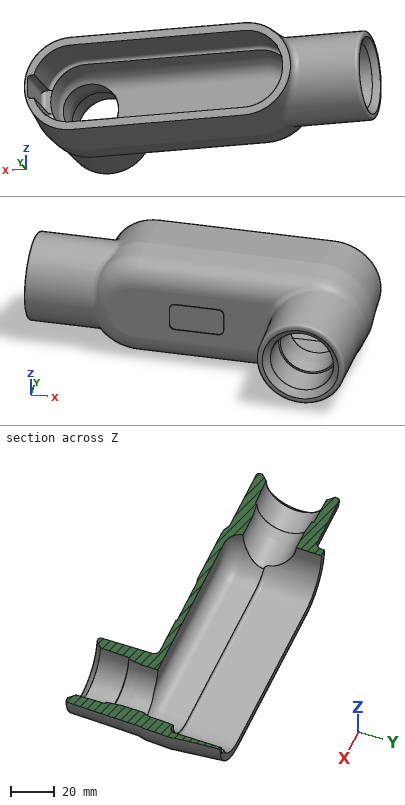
import cadquery as cq
import math


length = 160.08
depth = 76.63
body_width = 48.89

back_y = 25.3
front_y = -22.4
back_draft = 5.0
front_draft = 2.0
front_round = 11.2
body_radius = body_width / 2
left_center_x = 53.0
right_center_x = length - body_radius
center_spacing = right_center_x - left_center_x
body_middle_x = (left_center_x + right_center_x) / 2

hub_radius = 41.27 / 2
hub_edge_round = 1.41
hub_blend = 3.0
elbow_x = 138.0
elbow_tip_y = back_y - depth
elbow_draft = 1.0
elbow_base_radius = hub_radius - elbow_tip_y * math.tan(math.radians(elbow_draft))

mouth_radius = 18.0
mouth_depth = 3.0
thread_radius = 14.9
thread_depth = 17.5
thread_taper = 1 / 32
thread_end_radius = thread_radius - (thread_depth - mouth_depth) * thread_taper
throat_start_radius = 13.6
throat_end_radius = 12.7
throat_depth = 7.0

floor_wall = 3.5
floor_y = front_y + floor_wall
chamber_radius = 33.55 / 2
chamber_round = front_round - floor_wall
ledge_y = -0.2
ledge_round = 1.6
ledge_width = 1.7
opening_radius = chamber_radius + ledge_width

notch_width = 11.3
notch_round = 2.1
notch_depth = 2.3
notch_end_x = right_center_x + opening_radius + notch_depth

label_x = 82.0
label_length = 25.6
label_height = 13.2
label_corner = 2.6
label_depth = 0.5


def stadium(radius, start_y, end_y, draft=0.0):
    """Round-ended slab between two Y levels, shrinking by the draft towards end_y."""
    plane = cq.Workplane("XZ", origin=(body_middle_x, start_y, 0))
    outline = plane.slot2D(center_spacing + 2 * radius, 2 * radius)
    return outline.extrude(start_y - end_y, taper=draft)


def make_body():
    front = stadium(body_radius, 0, front_y, front_draft)
    front = front.faces("<Y").edges().fillet(front_round)
    back = stadium(body_radius, 0, back_y, back_draft)
    return front.union(back)


def make_straight_hub():
    hub = cq.Workplane("YZ").circle(hub_radius).extrude(left_center_x)
    return hub.faces("<X").edges().fillet(hub_edge_round)


def make_elbow_hub():
    profile = (
        cq.Workplane("XY")
        .polyline([(0, 0), (elbow_base_radius, 0), (hub_radius, elbow_tip_y), (0, elbow_tip_y)])
        .close()
    )
    hub = profile.revolve(360, (0, 0, 0), (0, 1, 0))
    return hub.faces("<Y").edges().fillet(hub_edge_round).translate((elbow_x, 0, 0))


def make_bore(reach):
    """Cutter for a hub bore along +X from the hub end: flared mouth, tapered thread, tapered throat."""
    profile = (
        cq.Workplane("XY")
        .moveTo(0, 0)
        .lineTo(0, mouth_radius)
        .lineTo(mouth_depth, thread_radius)
        .lineTo(thread_depth, thread_end_radius)
        .lineTo(thread_depth, throat_start_radius)
        .lineTo(thread_depth + throat_depth, throat_end_radius)
        .lineTo(reach, throat_end_radius)
        .lineTo(reach, 0)
        .close()
    )
    return profile.revolve(360, (0, 0, 0), (1, 0, 0))


def make_cavity():
    chamber = stadium(chamber_radius, ledge_y, floor_y, front_draft)
    chamber = chamber.faces("<Y").edges().fillet(chamber_round)
    opening = stadium(opening_radius, back_y, ledge_y)
    opening = opening.faces("<Y").edges().fillet(ledge_round)
    return chamber.union(opening).union(make_notch())


def make_notch():
    notch_length = notch_end_x - right_center_x
    notch_height = back_y - ledge_y
    notch = cq.Workplane("XY").box(notch_length, notch_height, notch_width, centered=(False, False, True))
    notch = notch.faces(">X").edges("not >Y").fillet(notch_round)
    return notch.translate((right_center_x, ledge_y, 0))


def make_label_recess():
    plane = cq.Workplane("XZ", origin=(label_x, front_y + label_depth, 0))
    recess = plane.rect(label_length, label_height).extrude(label_depth)
    return recess.edges("|Y").fillet(label_corner)


def join_with_blend(body, hub):
    """Join a hub to the body and round the seam, whose edges are the only free-form curves."""
    joined = body.union(hub)
    return joined.edges("%BSPLINE").fillet(hub_blend)


def make_casting():
    with_straight_hub = join_with_blend(make_body(), make_straight_hub())
    with_elbow_hub = join_with_blend(make_body(), make_elbow_hub())
    return with_straight_hub.union(with_elbow_hub)


straight_bore = make_bore(left_center_x)
elbow_bore = make_bore(floor_y - elbow_tip_y + chamber_round)
elbow_bore = elbow_bore.rotate((0, 0, 0), (0, 0, 1), 90).translate((elbow_x, elbow_tip_y, 0))

result = make_casting().cut(make_cavity())
result = result.cut(straight_bore).cut(elbow_bore).cut(make_label_recess())